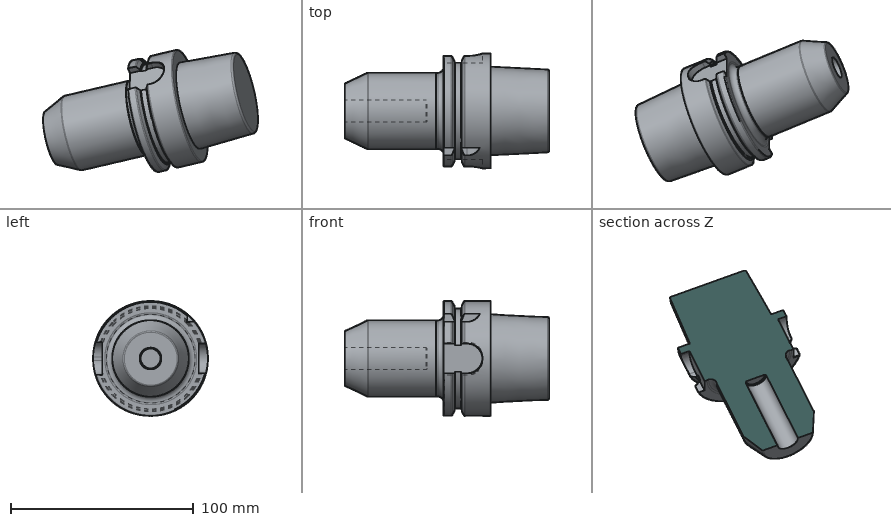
import cadquery as cq
import math


half_way_factor = math.sqrt(0.5)

cut_clearance = 1.0

nose_x = -80.0
nose_radius = 15.0
nose_cone_length = 12.6
body_radius = 42.0 / 2
nose_edge_round = 0.8
shoulder_edge_round = 1.0

neck_radius = 41.8 / 2
face_undercut_depth = 0.2
neck_length = 1.1
neck_step_length = 0.3
face_run_out = 1.0
undercut_round = 3.25

collar_x = -26.0
collar_radius = 63.0 / 2
collar_edge_round = 0.6
groove_floor_radius = 55.0 / 2
groove_mouth_centre_x = -18.0
groove_mouth_width = 6.9
groove_left_x = -19.75
groove_right_x = -16.0
groove_flank_angle = 30.0
groove_left_edge_round = 0.8
groove_right_edge_round = 0.4
groove_left_floor_round = 0.25
groove_right_floor_round = 0.5

taper_length = 32.0
taper_root_radius = 24.3
taper_slope = 1.0 / 20
taper_end_round = 1.2

bore_diameter = 12.0
bore_depth = 45.0
bore_floor_chamfer = 0.6

keyway_floor = 26.5
keyway_end_x = -4.7
keyway_corner_radius = 8.0
front_keyway_width = 16.0
rear_keyway_width = 18.0
front_keyway_edge_chamfer = 0.2

notch_offset = 20.0
notch_end_radius = 8.0
notch_straight_end_x = -13.2


def make_turned_body():
    """Revolve the outer profile about the X axis."""
    mouth_left_x = groove_mouth_centre_x - groove_mouth_width / 2
    mouth_right_x = groove_mouth_centre_x + groove_mouth_width / 2
    flank_slope = math.tan(math.radians(groove_flank_angle))
    left_wall_radius = collar_radius - (groove_left_x - mouth_left_x) / flank_slope
    right_wall_radius = collar_radius - (mouth_right_x - groove_right_x) / flank_slope
    face_undercut_x = collar_x + face_undercut_depth
    arc_start_x = face_undercut_x - undercut_round
    arc_end_radius = neck_radius + undercut_round
    arc_shift = undercut_round * half_way_factor
    arc_middle = (face_undercut_x - undercut_round + arc_shift, arc_end_radius - arc_shift)
    taper_end_radius = taper_root_radius - taper_slope * taper_length

    profile = (
        cq.Workplane("XY")
        .moveTo(nose_x, 0)
        .lineTo(nose_x, nose_radius)
        .lineTo(nose_x + nose_cone_length, body_radius)
        .lineTo(arc_start_x - neck_length, body_radius)
        .lineTo(arc_start_x - neck_length + neck_step_length, neck_radius)
        .lineTo(arc_start_x, neck_radius)
        .threePointArc(arc_middle, (face_undercut_x, arc_end_radius))
        .lineTo(collar_x, arc_end_radius + face_run_out)
        .lineTo(collar_x, collar_radius)
        .lineTo(mouth_left_x, collar_radius)
        .lineTo(groove_left_x, left_wall_radius)
        .lineTo(groove_left_x, groove_floor_radius)
        .lineTo(groove_right_x, groove_floor_radius)
        .lineTo(groove_right_x, right_wall_radius)
        .lineTo(mouth_right_x, collar_radius)
        .lineTo(0, collar_radius)
        .lineTo(0, taper_root_radius)
        .lineTo(taper_length, taper_end_radius)
        .lineTo(taper_length, 0)
        .close()
    )
    body = profile.revolve(360, (0, 0, 0), (1, 0, 0))

    body = round_rim(body, nose_x, nose_radius, nose_edge_round)
    body = round_rim(body, nose_x + nose_cone_length, body_radius, shoulder_edge_round)
    body = round_rim(body, collar_x, collar_radius, collar_edge_round)
    body = round_rim(body, mouth_left_x, collar_radius, groove_left_edge_round)
    body = round_rim(body, groove_left_x, groove_floor_radius, groove_left_floor_round)
    body = round_rim(body, groove_right_x, groove_floor_radius, groove_right_floor_round)
    body = round_rim(body, mouth_right_x, collar_radius, groove_right_edge_round)
    body = round_rim(body, 0, collar_radius, collar_edge_round)
    return round_rim(body, taper_length, taper_end_radius, taper_end_round)


def round_rim(body, x, rim_radius, fillet_radius):
    """Fillet the circular edge that lies at the given X and radius."""
    tolerance = 1e-4

    def is_rim(edge):
        if edge.geomType() != "CIRCLE":
            return False
        return abs(edge.Center().x - x) < tolerance and abs(edge.radius() - rim_radius) < tolerance

    rim = [edge for edge in body.edges().vals() if is_rim(edge)]
    return body.newObject(rim).fillet(fillet_radius)


def make_bore():
    """Blind bore from the nose face, with a chamfered floor."""
    return (
        cq.Workplane("YZ", origin=(nose_x, 0, 0))
        .circle(bore_diameter / 2)
        .extrude(bore_depth)
        .faces(">X")
        .chamfer(bore_floor_chamfer)
    )


def make_keyway(side, width):
    """Flat-bottomed slot through the collar rim; side is -1 for -Y and +1 for +Y."""
    start_x = collar_x - cut_clearance
    depth = collar_radius + cut_clearance - keyway_floor
    end_arc_x = keyway_end_x - keyway_corner_radius
    flat_half = width / 2 - keyway_corner_radius
    arc_shift = keyway_corner_radius * half_way_factor
    arc_middle_x = end_arc_x + arc_shift
    arc_middle_z = flat_half + arc_shift

    outline = (
        cq.Workplane("XZ", origin=(0, side * keyway_floor, 0))
        .moveTo(start_x, -width / 2)
        .lineTo(end_arc_x, -width / 2)
        .threePointArc((arc_middle_x, -arc_middle_z), (keyway_end_x, -flat_half))
    )
    if flat_half > 0:
        outline = outline.lineTo(keyway_end_x, flat_half)
    outline = (
        outline
        .threePointArc((arc_middle_x, arc_middle_z), (end_arc_x, width / 2))
        .lineTo(start_x, width / 2)
        .close()
    )
    return outline.extrude(-side * depth)


def chamfer_front_keyway(body):
    """Break the edges where the -Y keyway walls meet the collar's cylindrical surface."""
    tolerance = 0.01
    sample_places = (0, 0.25, 0.5, 0.75, 1)

    def is_mouth_edge(edge):
        points = [edge.positionAt(place) for place in sample_places]
        on_collar = all(abs(math.hypot(p.y, p.z) - collar_radius) < tolerance for p in points)
        in_keyway = all(
            p.y < 0 and abs(p.z) < front_keyway_width / 2 + tolerance and p.x < keyway_end_x + tolerance
            for p in points
        )
        return on_collar and in_keyway

    mouth = [edge for edge in body.edges().vals() if is_mouth_edge(edge)]
    return body.newObject(mouth).chamfer(front_keyway_edge_chamfer)


def make_notch():
    """Square-cornered notch whose floor sweeps up in an arc at its +X end."""
    start_x = collar_x - cut_clearance
    arc_shift = notch_end_radius * half_way_factor
    arc_centre_z = notch_offset + notch_end_radius
    arc_middle = (notch_straight_end_x + arc_shift, arc_centre_z - arc_shift)
    arc_end_x = notch_straight_end_x + notch_end_radius
    return (
        cq.Workplane("XZ", origin=(0, -notch_offset, 0))
        .moveTo(start_x, notch_offset)
        .lineTo(notch_straight_end_x, notch_offset)
        .threePointArc(arc_middle, (arc_end_x, arc_centre_z))
        .lineTo(start_x, arc_centre_z)
        .close()
        .extrude(collar_radius - notch_offset)
    )


result = make_turned_body().cut(make_bore())
result = result.cut(make_keyway(-1, front_keyway_width))
result = chamfer_front_keyway(result)
result = result.cut(make_keyway(1, rear_keyway_width))
result = result.cut(make_notch())